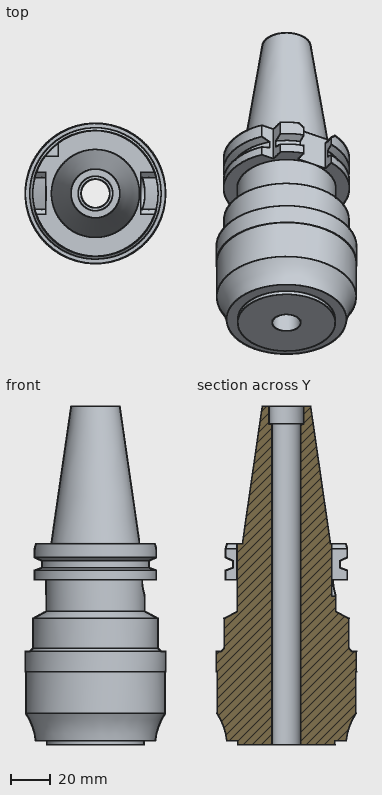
import cadquery as cq

total_height = 170.4
nose_height = 2.0
nut_taper_top = 15.8
nut_top = 36.8
collar_top = 47.0
body_bottom = 48.5
body_top = 63.5
neck_bottom = 67.1
flange_bottom = 83.0
groove_lower_edge = 87.8
groove_floor_bottom = 89.1
groove_floor_top = 92.5
groove_upper_edge = 94.2
flange_top = 101.2
taper_bottom = 102.0

nose_radius = 24.5
nut_end_radius = 30.2
nut_waist_radius = 31.7
nut_radius = 35.1
collar_diameter = 70.7
collar_radius = collar_diameter / 2
body_foot_radius = 33.0
body_radius = 31.5
neck_radius = 24.9
flange_radius = 31.7
groove_radius = 28.1
taper_large_radius = 22.2
taper_small_radius = 12.3
bore_radius = 7.2
counterbore_radius = 8.7
counterbore_depth = 9.0

slot_width = 16.0
slot_chamfer = 2.5
left_slot_floor = neck_radius
right_slot_floor = 22.8
notch_offset = 18.7


def make_body():
    """Revolve the outer profile of the holder, drawn as (radius, height)."""
    nut_waist_height = (nose_height + nut_taper_top) / 2
    profile = (
        cq.Workplane("XZ")
        .moveTo(0, 0)
        .lineTo(nose_radius, 0)
        .lineTo(nose_radius, nose_height)
        .lineTo(nut_end_radius, nose_height)
        .threePointArc((nut_waist_radius, nut_waist_height), (nut_radius, nut_taper_top))
        .lineTo(nut_radius, nut_top)
        .lineTo(collar_radius, nut_top)
        .lineTo(collar_radius, collar_top)
        .lineTo(body_foot_radius, collar_top)
        .lineTo(body_radius, body_bottom)
        .lineTo(body_radius, body_top)
        .lineTo(neck_radius, neck_bottom)
        .lineTo(neck_radius, flange_bottom)
        .lineTo(flange_radius, flange_bottom)
        .lineTo(flange_radius, groove_lower_edge)
        .lineTo(groove_radius, groove_floor_bottom)
        .lineTo(groove_radius, groove_floor_top)
        .lineTo(flange_radius, groove_upper_edge)
        .lineTo(flange_radius, flange_top)
        .lineTo(taper_large_radius, flange_top)
        .lineTo(taper_large_radius, taper_bottom)
        .lineTo(taper_small_radius, total_height)
        .lineTo(0, total_height)
        .close()
    )
    return profile.revolve(360, (0, 0, 0), (0, 1, 0))


def make_drive_slot(floor_distance, side):
    """Chamfer-mouthed slot with a round lower end, on the +X (side=1) or -X (side=-1) flank."""
    half_width = slot_width / 2
    mouth_half_width = half_width + slot_chamfer
    chamfer_bottom = flange_top - slot_chamfer
    outline = (
        cq.Workplane("YZ", origin=(side * floor_distance, 0, 0))
        .moveTo(-half_width, flange_bottom)
        .threePointArc((0, flange_bottom - half_width), (half_width, flange_bottom))
        .lineTo(half_width, chamfer_bottom)
        .lineTo(mouth_half_width, flange_top)
        .lineTo(-mouth_half_width, flange_top)
        .lineTo(-half_width, chamfer_bottom)
        .close()
    )
    return outline.extrude(side * flange_radius)


def make_corner_notch():
    """Square notch through the flange rim in the (-X, +Y) quadrant."""
    return (
        cq.Workplane("XY", origin=(-notch_offset, notch_offset, flange_bottom))
        .box(flange_radius, flange_radius, flange_top - flange_bottom, centered=False)
        .translate((-flange_radius, 0, 0))
    )


def make_bore():
    """Through bore with a counterbore at the small end of the taper."""
    through_hole = cq.Workplane("XY").circle(bore_radius).extrude(total_height)
    counterbore = (
        cq.Workplane("XY", origin=(0, 0, total_height - counterbore_depth))
        .circle(counterbore_radius)
        .extrude(counterbore_depth)
    )
    return through_hole.union(counterbore)


result = (
    make_body()
    .cut(make_drive_slot(left_slot_floor, -1))
    .cut(make_drive_slot(right_slot_floor, 1))
    .cut(make_corner_notch())
    .cut(make_bore())
)